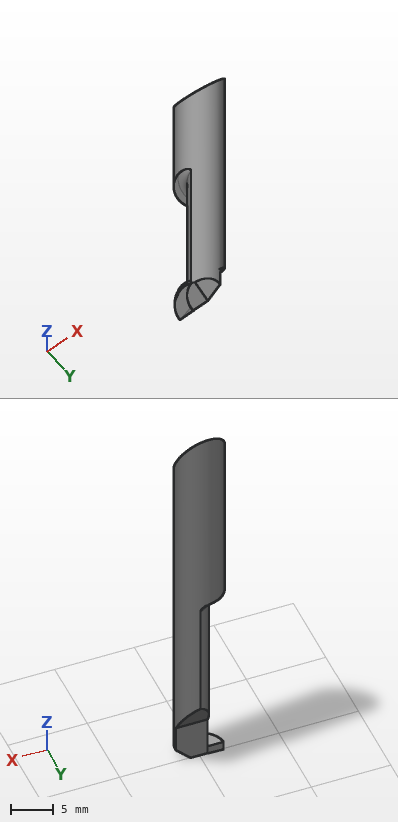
import cadquery as cq
import math

LENGTH = 52.45
RADIUS = 3.0
SLANT_ANGLE = 30.0

NECK_OFFSET = 2.0
NECK_TOP = 26.45
NECK_FILLET = 1.05

FLAT_Y = 0.15
FLAT_TOP = 5.45

SHANK_BOTTOM = 0.1
END_BEVEL = 1.85
BOTTOM_RISE = 0.3

TIP_TOP = 1.2
TIP_FLANK_X = -1.15
TIP_FLANK_Y = -2.55
TIP_BOW_X = -2.35
TIP_BOW_Y = -1.6
TIP_TOP_DROP = 0.25

SLANT_RUN = 1 / math.tan(math.radians(SLANT_ANGLE))
MARGIN = 1.05
REACH = RADIUS + MARGIN

NECK_EDGE_X = NECK_OFFSET / 2
NECK_EDGE_Y = math.sqrt(RADIUS**2 - NECK_EDGE_X**2)


def extrude_along_x(points):
    """Solid with the given (Y, Z) outline, reaching past both sides of the bar."""
    return cq.Workplane("YZ").polyline(points).close().extrude(REACH, both=True)


def extrude_along_y(points):
    """Solid with the given (X, Z) outline, reaching past both sides of the bar."""
    return cq.Workplane("XZ").polyline(points).close().extrude(REACH, both=True)


def neck_relief():
    """Material removed beside the neck, with a concave fillet under the shoulder."""
    block = cq.Workplane("XY").rect(2 * REACH, 2 * REACH).extrude(NECK_TOP)
    core = cq.Workplane("XY").center(NECK_OFFSET, 0).circle(RADIUS).extrude(NECK_TOP)

    outer = RADIUS + NECK_FILLET
    arc_inset = NECK_FILLET * (1 - math.sqrt(0.5))
    arc_middle = (RADIUS + arc_inset, NECK_TOP - arc_inset)
    flare = (
        cq.Workplane("XZ")
        .moveTo(0, NECK_TOP - NECK_FILLET)
        .lineTo(RADIUS, NECK_TOP - NECK_FILLET)
        .threePointArc(arc_middle, (outer, NECK_TOP))
        .lineTo(0, NECK_TOP)
        .close()
        .revolve(360, (0, 0, 0), (0, 1, 0))
        .translate((NECK_OFFSET, 0, 0))
    )
    return block.cut(core).cut(flare)


def upper_slant():
    """Wedge removed from the top, leaving the highest point on the +Y side."""
    low_z = LENGTH - (RADIUS + REACH) * SLANT_RUN
    high_z = LENGTH + MARGIN * SLANT_RUN
    return extrude_along_x([(-REACH, low_z), (REACH, high_z), (-REACH, high_z)])


def lower_flat():
    """Material removed on the +Y side of the lower end, with a slanted run-out."""
    runout_top = FLAT_TOP + (REACH - FLAT_Y) * SLANT_RUN
    return extrude_along_x([(FLAT_Y, -MARGIN), (FLAT_Y, FLAT_TOP), (REACH, runout_top), (REACH, -MARGIN)])


def bottom_relief():
    """Wedge removed from the shank's lower end, rising towards -Y."""
    return extrude_along_x([
        (FLAT_Y, SHANK_BOTTOM),
        (-RADIUS, SHANK_BOTTOM + BOTTOM_RISE),
        (-RADIUS, SHANK_BOTTOM),
    ])


def end_bevel():
    """45 degree corner removed from the +X side of the lower end."""
    leg = END_BEVEL + MARGIN
    return extrude_along_y([
        (REACH - leg, SHANK_BOTTOM),
        (REACH, SHANK_BOTTOM),
        (REACH, SHANK_BOTTOM + leg),
    ])


def make_shank():
    bar = cq.Workplane("XY").workplane(offset=SHANK_BOTTOM).circle(RADIUS).extrude(LENGTH - SHANK_BOTTOM)
    for removed in (neck_relief(), upper_slant(), lower_flat(), bottom_relief(), end_bevel()):
        bar = bar.cut(removed)
    return bar


def make_tip():
    """Hooked tip with a curved flank, fitted around the neck."""
    plate = (
        cq.Workplane("XY")
        .moveTo(-RADIUS, FLAT_Y)
        .threePointArc((TIP_BOW_X, TIP_BOW_Y), (TIP_FLANK_X, TIP_FLANK_Y))
        .threePointArc((0, -RADIUS), (NECK_EDGE_X, -NECK_EDGE_Y))
        .lineTo(NECK_EDGE_X, FLAT_Y)
        .close()
        .extrude(TIP_TOP)
    )
    side_profile = extrude_along_x([
        (FLAT_Y, 0),
        (FLAT_Y, TIP_TOP),
        (-RADIUS, TIP_TOP - TIP_TOP_DROP),
        (-RADIUS, BOTTOM_RISE),
    ])
    front_profile = extrude_along_y([
        (-RADIUS, 0),
        (-RADIUS, TIP_TOP),
        (NECK_EDGE_X, TIP_TOP),
        (NECK_EDGE_X, SHANK_BOTTOM),
    ])
    neck = cq.Workplane("XY").center(NECK_OFFSET, 0).circle(RADIUS).extrude(TIP_TOP)
    return plate.intersect(side_profile).intersect(front_profile).cut(neck)


shank = make_shank()
tip = make_tip()

result = cq.Compound.makeCompound([shank.val(), tip.val()])